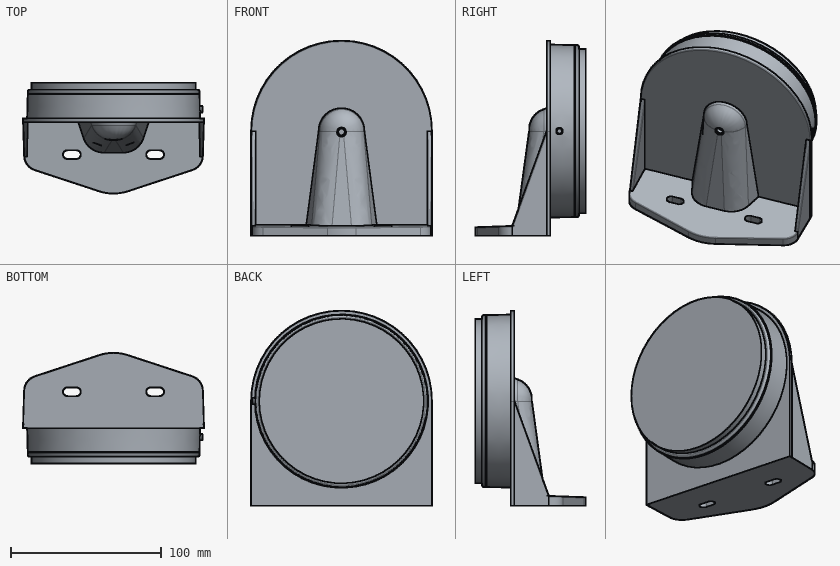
import cadquery as cq
import math


width = 120.0
height = 129.4
plate_thickness = 2.6
plate_edge_radius = 0.5
half_width = width / 2
axis_z = height - half_width

rear_y = 26.1
drum_radius = 57.5
drum_rear_radius = 57.1
drum_rear_y = 18.4
groove_radius = 56.5
groove_width = 0.5
bead_rear_y = 21.6
bead_edge_radius = 1.5
spigot_radius = 54.5

button_radius = 2.2
button_y = 8.5
button_tip_x = 59.1
button_embed = 2.6
button_edge_chamfer = 0.5

flange_depth = 47.4
flange_root_height = 7.5
flange_tip_height = 5.8
flange_point_angle = 18.2
flange_point_radius = 30.3
flange_corner_radius = 10.5
gusset_depth = 22.8
side_draft = 0.71
flange_edge_radius = 0.5

slot_spacing = 55.1
slot_length = 11.6
slot_width = 5.6
slot_y = -21.5

gusset_root_thickness = 3.2
gusset_tip_thickness = 2.1
gusset_edge_radius = 0.5

hump_top_half_width = 15.21
hump_top_depth = 11.6
hump_foot_half_width = 23.5
hump_foot_depth = 20.3
hump_side_angle = 18.5
hump_edge_radius = 14.2

hole_radius = 2.2
hole_z = 68.9
hole_depth = 3.9
hole_rim_radius = 3.04
hole_rim_depth = 0.8

pick_margin = 0.1


def make_plate():
    """Plate with a semicircular top whose front edge is lightly rounded."""
    plate = (
        cq.Workplane("XZ")
        .moveTo(-half_width, 0)
        .lineTo(half_width, 0)
        .lineTo(half_width, axis_z)
        .threePointArc((0, height), (-half_width, axis_z))
        .close()
        .extrude(-plate_thickness)
    )
    return plate.faces("<Y").edges("%CIRCLE").fillet(plate_edge_radius)


def make_housing():
    """Slightly tapered drum, narrow groove, rounded bead and spigot, turned about the housing axis."""
    bead_front_y = drum_rear_y + groove_width
    corner_mid = bead_edge_radius * (1 - math.sqrt(0.5))
    profile = (
        cq.Workplane("XY")
        .moveTo(0, 0)
        .lineTo(drum_radius, 0)
        .lineTo(drum_radius, plate_thickness)
        .lineTo(drum_rear_radius, drum_rear_y)
        .lineTo(groove_radius, drum_rear_y)
        .lineTo(groove_radius, bead_front_y)
        .lineTo(drum_rear_radius, bead_front_y)
        .lineTo(drum_rear_radius, bead_rear_y - bead_edge_radius)
        .threePointArc(
            (drum_rear_radius - corner_mid, bead_rear_y - corner_mid),
            (drum_rear_radius - bead_edge_radius, bead_rear_y),
        )
        .lineTo(spigot_radius, bead_rear_y)
        .lineTo(spigot_radius, rear_y)
        .lineTo(0, rear_y)
        .close()
    )
    return profile.revolve(360, (0, 0, 0), (0, 1, 0)).translate((0, 0, axis_z))


def make_button():
    """Short chamfered stud at the height of the housing axis."""
    start_x = drum_rear_radius - button_embed
    return (
        cq.Workplane("YZ", origin=(start_x, button_y, axis_z))
        .circle(button_radius)
        .extrude(button_tip_x - start_x)
        .faces(">X")
        .chamfer(button_edge_chamfer)
    )


def make_flange():
    """Pointed flange outline, trimmed from above by the sloping top."""
    angle = math.radians(flange_point_angle)
    sharp_point_y = -flange_depth - flange_point_radius * (1 / math.cos(angle) - 1)
    tip_half_width = half_width - side_draft
    corner_y = sharp_point_y + tip_half_width * math.tan(angle)
    outline = (
        cq.Workplane("XY")
        .polyline([
            (-half_width, 0),
            (-tip_half_width, -gusset_depth),
            (-tip_half_width, corner_y),
            (0, sharp_point_y),
            (tip_half_width, corner_y),
            (tip_half_width, -gusset_depth),
            (half_width, 0),
        ])
        .close()
        .extrude(flange_root_height)
    )
    corner_edges = cq.selectors.BoxSelector(
        (-half_width, corner_y - pick_margin, 0),
        (half_width, corner_y + pick_margin, flange_root_height),
    )
    rounded = (
        outline.edges("|Z").edges("<Y").fillet(flange_point_radius)
        .edges(corner_edges).fillet(flange_corner_radius)
    )
    side_profile = (
        cq.Workplane("YZ", origin=(-half_width, 0, 0))
        .polyline([
            (0, 0),
            (0, flange_root_height),
            (-flange_depth, flange_tip_height),
            (-flange_depth, 0),
        ])
        .close()
        .extrude(width)
    )
    slots = (
        cq.Workplane("XY")
        .pushPoints([(-slot_spacing / 2, slot_y), (slot_spacing / 2, slot_y)])
        .slot2D(slot_length, slot_width)
        .extrude(flange_root_height)
    )
    front_top_edges = cq.selectors.BoxSelector(
        (-tip_half_width, sharp_point_y, flange_tip_height - pick_margin),
        (tip_half_width, -gusset_depth - pick_margin, flange_root_height),
    )
    trimmed = rounded.intersect(side_profile).edges(front_top_edges).fillet(flange_edge_radius)
    return trimmed.cut(slots)


def make_gusset():
    """Triangular gusset on the +X side, thinning toward its front tip."""
    tip_outer_x = half_width - side_draft
    slab = (
        cq.Workplane("XY")
        .polyline([
            (half_width, 0),
            (tip_outer_x, -gusset_depth),
            (tip_outer_x - gusset_tip_thickness, -gusset_depth),
            (half_width - gusset_root_thickness, 0),
        ])
        .close()
        .extrude(axis_z)
    )
    flange_slope = (flange_root_height - flange_tip_height) / flange_depth
    tip_z = flange_root_height - flange_slope * gusset_depth
    triangle = (
        cq.Workplane("YZ")
        .polyline([(0, 0), (0, axis_z), (-gusset_depth, tip_z), (-gusset_depth, 0)])
        .close()
        .extrude(half_width)
    )
    slope_mid_y = -gusset_depth / 2
    slope_mid_z = (axis_z + tip_z) / 2
    sloped_edges = cq.selectors.BoxSelector(
        (0, slope_mid_y - pick_margin, slope_mid_z - pick_margin),
        (half_width, slope_mid_y + pick_margin, slope_mid_z + pick_margin),
    )
    return slab.intersect(triangle).edges(sloped_edges).fillet(gusset_edge_radius)


def hump_side_points(half_base, depth):
    """Start, middle and end of the rounded +X corner of a hump cross-section."""
    slope = math.radians(hump_side_angle)
    turn = math.pi / 2 - slope
    tangent = hump_edge_radius * math.tan(turn / 2)
    sharp_x = half_base - depth * math.tan(slope)
    end = (sharp_x - tangent, -depth)
    center = (end[0], -depth + hump_edge_radius)
    start = (
        center[0] + hump_edge_radius * math.cos(slope),
        center[1] - hump_edge_radius * math.sin(slope),
    )
    mid_angle = slope + turn / 2
    middle = (
        center[0] + hump_edge_radius * math.cos(mid_angle),
        center[1] - hump_edge_radius * math.sin(mid_angle),
    )
    return start, middle, end


def hump_section(workplane, half_base, depth):
    """Cross-section with leaning sides and rounded front corners, drawn on the given workplane."""
    start, middle, end = hump_side_points(half_base, depth)
    return (
        workplane
        .moveTo(half_base, 0)
        .lineTo(*start)
        .threePointArc(middle, end)
        .lineTo(-end[0], end[1])
        .threePointArc((-middle[0], middle[1]), (-start[0], start[1]))
        .lineTo(-half_base, 0)
        .close()
    )


def make_hump():
    """Body narrowing from the flange up to the housing axis, capped by a dome turned about that axis."""
    foot = hump_section(cq.Workplane("XY"), hump_foot_half_width, hump_foot_depth)
    body = hump_section(
        foot.workplane(offset=axis_z - flange_tip_height), hump_top_half_width, hump_top_depth
    ).loft(ruled=True).translate((0, 0, flange_tip_height))
    start, middle, end = hump_side_points(hump_top_half_width, hump_top_depth)
    dome = (
        cq.Workplane("XY")
        .moveTo(0, 0)
        .lineTo(hump_top_half_width, 0)
        .lineTo(*start)
        .threePointArc(middle, end)
        .lineTo(0, -hump_top_depth)
        .close()
        .revolve(360, (0, 0, 0), (0, 1, 0))
        .translate((0, 0, axis_z))
    )
    return body.union(dome)


def make_hump_hole():
    """Blind hole with a shallow conical rim, entering the hump from the front."""
    rim_y = -hump_top_depth
    bore = (
        cq.Workplane("XZ", origin=(0, rim_y + hole_depth, hole_z))
        .circle(hole_radius)
        .extrude(2 * hole_depth)
    )
    rim = (
        cq.Workplane("XZ", origin=(0, rim_y + hole_rim_depth, hole_z))
        .circle(hole_radius)
        .workplane(offset=hole_rim_depth)
        .circle(hole_rim_radius)
        .loft()
    )
    return bore.union(rim)


gusset = make_gusset()
result = (
    make_plate()
    .union(make_housing())
    .union(make_button())
    .union(make_flange())
    .union(gusset)
    .union(gusset.mirror("YZ"))
    .union(make_hump())
    .cut(make_hump_hole())
)